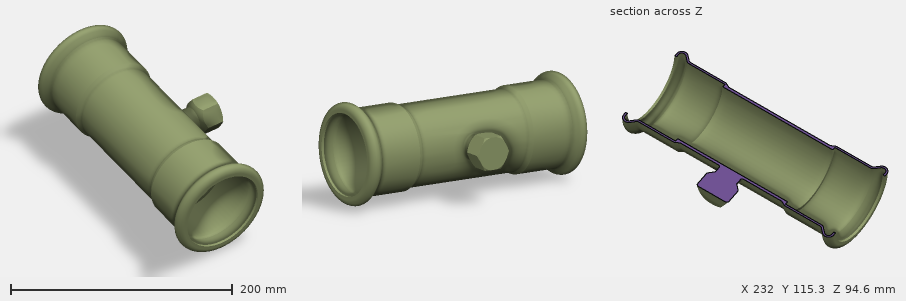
import cadquery as cq
import math

length = 232.0
half_length = length / 2
position_tolerance = 0.02
body_radius = 76.0 / 2
bore_radius = 35.0

socket_radius = 81.2 / 2
socket_wall = 2.3
socket_inner_radius = socket_radius - socket_wall
socket_end = 55.2
taper_length = 4.9
taper_fillet = 1.2

bead_radius = 47.3
bead_round = 5.8
bead_axis_radius = bead_radius - bead_round
bead_slope = math.radians(45)
bead_wall = 2.3
bead_foot_fillet = 2.3
groove_foot_fillet = 3.2

port_top = 68.0
hex_across_flats = 30.2
hex_across_corners = hex_across_flats / math.cos(math.radians(30))
neck_radius = 24.0 / 2
neck_top = 45.5
neck_fillet = 1.6
hex_face_radius = 15.3
hex_chamfer_angle = math.radians(30)


def bead_outline(round_radius, foot_radius):
    """Return the middle and end of a bead arc, and the foot of the cone tangent to it.

    The arc runs from the end side over the crest; the cone drops to foot_radius.
    """
    center_x = -half_length + bead_round

    def on_arc(angle):
        return (
            center_x - round_radius * math.cos(angle),
            bead_axis_radius + round_radius * math.sin(angle),
        )

    sweep = math.pi - bead_slope
    end_x, end_radius = on_arc(sweep)
    foot = (end_x + (end_radius - foot_radius) / math.tan(bead_slope), foot_radius)
    return on_arc(sweep / 2), (end_x, end_radius), foot


def fillet_circle(solid, x, fillet_radius):
    """Round the circular edge that lies at x around the pipe axis."""
    reach = 2 * bead_radius
    slab = cq.selectors.BoxSelector(
        (x - position_tolerance, -reach, -reach),
        (x + position_tolerance, reach, reach),
    )
    return solid.edges("%CIRCLE").edges(slab).fillet(fillet_radius)


def make_left_half():
    """Revolve the outer envelope from the left end to the middle."""
    arc_mid, arc_end, foot = bead_outline(bead_round, socket_radius)
    taper_end = -half_length + socket_end + taper_length
    envelope = (
        cq.Workplane("XY")
        .moveTo(-half_length, 0)
        .lineTo(-half_length, bead_axis_radius)
        .threePointArc(arc_mid, arc_end)
        .lineTo(*foot)
        .lineTo(-half_length + socket_end, socket_radius)
        .lineTo(taper_end, body_radius)
        .lineTo(0, body_radius)
        .lineTo(0, 0)
        .close()
        .revolve(360, (0, 0, 0), (1, 0, 0))
    )
    envelope = fillet_circle(envelope, foot[0], bead_foot_fillet)
    return fillet_circle(envelope, taper_end, taper_fillet)


def make_left_cavity():
    """Revolve the socket bore, its seal groove and the pipe bore behind a flat stop."""
    groove_round = bead_round - bead_wall
    groove_start = -half_length + bead_wall
    arc_mid, arc_end, foot = bead_outline(groove_round, socket_inner_radius)
    cavity = (
        cq.Workplane("XY")
        .moveTo(-half_length, 0)
        .lineTo(-half_length, socket_inner_radius)
        .lineTo(groove_start, socket_inner_radius)
        .lineTo(groove_start, bead_axis_radius)
        .threePointArc(arc_mid, arc_end)
        .lineTo(*foot)
        .lineTo(-half_length + socket_end, socket_inner_radius)
        .lineTo(-half_length + socket_end, bore_radius)
        .lineTo(0, bore_radius)
        .lineTo(0, 0)
        .close()
        .revolve(360, (0, 0, 0), (1, 0, 0))
    )
    return fillet_circle(cavity, foot[0], groove_foot_fillet)


def with_mirror(half):
    """Join a left half to its mirror image."""
    return half.union(half.mirror("YZ"))


def make_hexagon():
    """Make the hexagon, trimmed by cones at its outer and inner ends."""
    corner_radius = hex_across_corners / 2
    chamfer_height = (corner_radius - hex_face_radius) * math.tan(hex_chamfer_angle)
    prism = (
        cq.Workplane("XZ", origin=(0, neck_top, 0))
        .polygon(6, hex_across_corners)
        .extrude(neck_top - port_top)
    )
    trim = (
        cq.Workplane("XY")
        .moveTo(0, neck_top)
        .lineTo(neck_radius, neck_top)
        .lineTo(corner_radius, neck_top + corner_radius - neck_radius)
        .lineTo(corner_radius, port_top - chamfer_height)
        .lineTo(hex_face_radius, port_top)
        .lineTo(0, port_top)
        .close()
        .revolve(360, (0, 0, 0), (0, 1, 0))
    )
    return prism.intersect(trim)


def make_envelope_with_neck():
    """Join the neck to the pipe and round the seam between them."""
    neck = cq.Workplane("XZ").circle(neck_radius).extrude(-neck_top)
    joined = with_mirror(make_left_half()).union(neck)
    return joined.edges("%BSPLINE").fillet(neck_fillet)


result = make_envelope_with_neck().union(make_hexagon()).cut(with_mirror(make_left_cavity()))